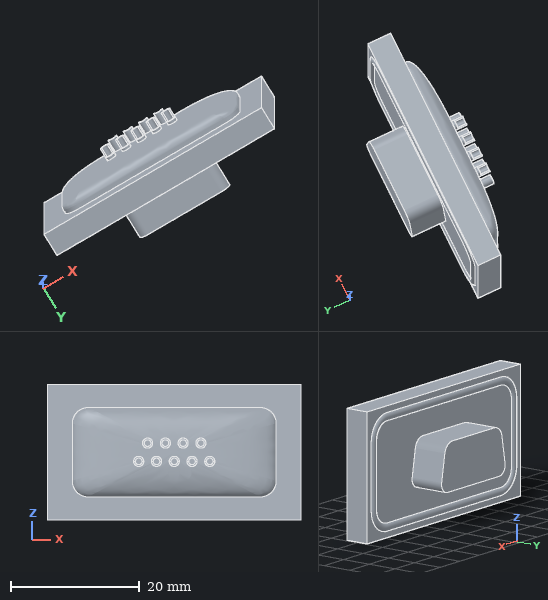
import cadquery as cq
import math


PANEL_WIDTH = 39.4
PANEL_HEIGHT = 21.1
PANEL_THICKNESS = 3.95

RING_SECTION_RADIUS = 0.8
RING_PROUD = 0.35
RING_WIDTH = 36.0
RING_HEIGHT = 17.65
RING_CORNER_RADIUS = 3.4

DOME_WIDTH = 31.68
DOME_HEIGHT = 13.9
DOME_CORNER_RADIUS = 2.52
DOME_WALL = 0.7
DOME_RISE = 2.65
DOME_EXPONENT = 2.3
DOME_SECTIONS = 8
DOME_TIP_SCALE = 0.015

SHELL_LENGTH = 5.75
SHELL_WIDTH = 16.3
SHELL_HEIGHT = 8.0
SHELL_SLOPE = math.radians(10)
SHELL_TOP_RADIUS = 2.0
SHELL_BOTTOM_RADIUS = 1.55

CUP_PITCH = 2.75
ROW_SPACING = 2.85
CUP_RADIUS = 0.8
CUP_BORE_RADIUS = 0.5
CUP_LENGTH = 5.3
CUP_COLLAR_LENGTH = 3.8
CUP_BORE_LENGTH = 2.3
UPPER_ROW_COUNT = 4
LOWER_ROW_COUNT = 5


def section_plane(y):
    """Plane at the given Y with local x along X, local y along Z and normal along -Y."""
    return cq.Workplane("XZ", origin=(0, y, 0))


def rounded_block(y, width, height, radius, depth):
    """Block with rounded corners, reaching from the given Y towards -Y."""
    return section_plane(y).rect(width, height).extrude(depth).edges("|Y").fillet(radius)


def rounded_outline(y, width, height, radius):
    """Closed wire of a rounded rectangle in the plane at the given Y."""
    return rounded_block(y, width, height, radius, PANEL_THICKNESS).faces(">Y").wires().val()


def make_seal_ring():
    """Round section swept along a rounded rectangle."""
    centre_y = PANEL_THICKNESS + RING_PROUD - RING_SECTION_RADIUS
    path = rounded_outline(centre_y, RING_WIDTH, RING_HEIGHT, RING_CORNER_RADIUS)
    section = cq.Workplane("YZ", origin=(0, centre_y, RING_HEIGHT / 2)).circle(RING_SECTION_RADIUS)
    return section.sweep(cq.Workplane(path))


def make_dome_blank():
    """Straight wall and a crown lofted through shrinking copies of the wall's outline."""
    wall = rounded_block(0, DOME_WIDTH, DOME_HEIGHT, DOME_CORNER_RADIUS, DOME_WALL)
    tip_angle = math.acos(DOME_TIP_SCALE ** (DOME_EXPONENT / 2))
    sections = []
    for i in range(DOME_SECTIONS):
        angle = tip_angle * i / (DOME_SECTIONS - 1)
        scale = math.cos(angle) ** (2 / DOME_EXPONENT)
        y = -DOME_WALL - DOME_RISE * math.sin(angle) ** (2 / DOME_EXPONENT)
        outline = rounded_outline(y, DOME_WIDTH * scale, DOME_HEIGHT * scale, DOME_CORNER_RADIUS * scale)
        sections.append(outline)
    crown = cq.occ_impl.shapes.loft(*sections, cap=True, parametrization="uniform")
    return wall.union(cq.Workplane(crown))


def make_shell():
    """D-shaped block, wide end down, from the panel's outer face to the shell's rear end."""
    corner_reach = 1 / math.cos(SHELL_SLOPE) + math.tan(SHELL_SLOPE) - 1
    half_bottom = SHELL_WIDTH / 2 + SHELL_BOTTOM_RADIUS * corner_reach
    half_top = half_bottom - SHELL_HEIGHT * math.tan(SHELL_SLOPE)
    shell = (
        section_plane(PANEL_THICKNESS + SHELL_LENGTH)
        .moveTo(-half_bottom, -SHELL_HEIGHT / 2)
        .lineTo(half_bottom, -SHELL_HEIGHT / 2)
        .lineTo(half_top, SHELL_HEIGHT / 2)
        .lineTo(-half_top, SHELL_HEIGHT / 2)
        .close()
        .extrude(PANEL_THICKNESS + SHELL_LENGTH)
    )
    shell = shell.edges("|Y and >Z").fillet(SHELL_TOP_RADIUS)
    return shell.edges("|Y and <Z").fillet(SHELL_BOTTOM_RADIUS)


def cup_positions():
    """(x, z, open_side) of each cup; open_side is the Z direction in which its cup opens."""
    positions = []
    for count, open_side in ((UPPER_ROW_COUNT, 1), (LOWER_ROW_COUNT, -1)):
        for i in range(count):
            x = (i - (count - 1) / 2) * CUP_PITCH
            positions.append((x, open_side * ROW_SPACING / 2, open_side))
    return positions


def make_cup_pin(x, z):
    """Solid round pin from the panel's outer face to the cup tip."""
    return section_plane(0).center(x, z).circle(CUP_RADIUS).extrude(CUP_LENGTH)


def make_cup(x, z, open_side):
    """Pin bored from its tip and cut half round, leaving a full collar above the dome."""
    bore = (
        section_plane(CUP_BORE_LENGTH - CUP_LENGTH).center(x, z)
        .circle(CUP_BORE_RADIUS).extrude(CUP_BORE_LENGTH)
    )
    open_half = (
        section_plane(-CUP_COLLAR_LENGTH).center(x, z + open_side * CUP_RADIUS)
        .rect(2 * CUP_RADIUS, 2 * CUP_RADIUS).extrude(CUP_LENGTH - CUP_COLLAR_LENGTH)
    )
    return make_cup_pin(x, z).cut(bore).cut(open_half)


seal_ring = make_seal_ring()

shell = make_shell()
panel = section_plane(PANEL_THICKNESS).rect(PANEL_WIDTH, PANEL_HEIGHT).extrude(PANEL_THICKNESS)
panel = panel.cut(shell).cut(seal_ring)

dome = make_dome_blank()
connector = shell
for x, z, open_side in cup_positions():
    dome = dome.cut(make_cup_pin(x, z))
    connector = connector.union(make_cup(x, z, open_side))

result = cq.Compound.makeCompound([panel.val(), seal_ring.val(), dome.val(), connector.val()])